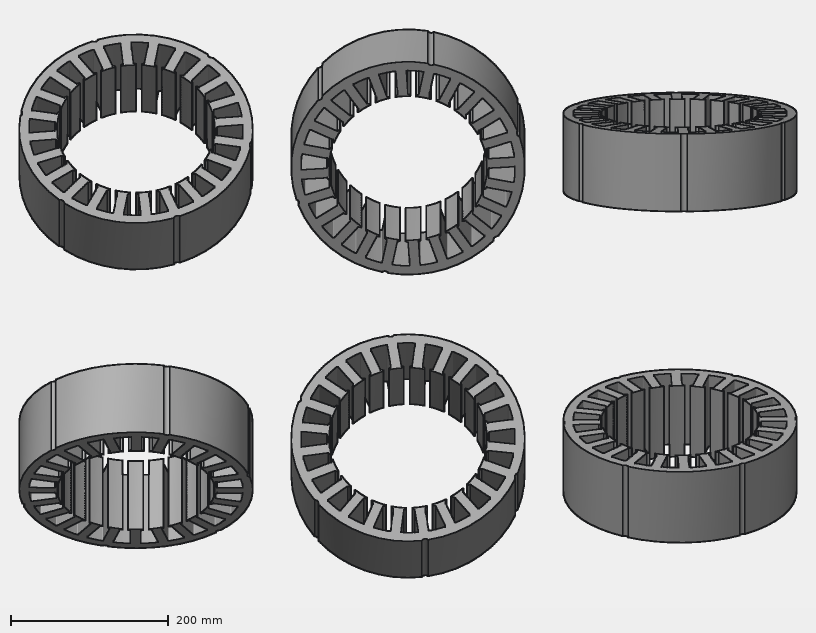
import cadquery as cq
import math

outer_diameter = 296.0
bore_diameter = 200.0
height = 100.0

tooth_count = 24
tooth_width = 13.2
slot_floor_radius = 135.5
slot_corner_radius = 1.0
slot_opening = 7.0
lip_radius = 101.5
tooth_root_radius = 103.2

groove_count = 6
groove_radius = 5.0
groove_depth = 2.0

tooth_pitch = 360.0 / tooth_count
first_groove_angle = 90.0
outer_radius = outer_diameter / 2
bore_radius = bore_diameter / 2
bore_overlap = 5.0


def ring_blank():
    return cq.Workplane("XY").circle(outer_radius).circle(bore_radius).extrude(height)


def flank_point(radius):
    """Point at the given radius on the tooth flank above a slot centred on +X."""
    half_pitch = math.radians(tooth_pitch / 2)
    angle = half_pitch - math.asin(tooth_width / 2 / radius)
    return radius * math.cos(angle), radius * math.sin(angle)


def mirrored(point):
    return point[0], -point[1]


def slot_cutter():
    """Full-height slot centred on +X: narrow opening, flare, straight flanks, round floor."""
    half_opening = slot_opening / 2
    mouth = (bore_radius - bore_overlap, half_opening)
    lip = (math.sqrt(lip_radius**2 - half_opening**2), half_opening)
    root = flank_point(tooth_root_radius)
    floor_corner = flank_point(slot_floor_radius)
    cutter = (
        cq.Workplane("XY")
        .moveTo(*mouth)
        .lineTo(*lip)
        .lineTo(*root)
        .lineTo(*floor_corner)
        .threePointArc((slot_floor_radius, 0), mirrored(floor_corner))
        .lineTo(*mirrored(root))
        .lineTo(*mirrored(lip))
        .lineTo(*mirrored(mouth))
        .close()
        .extrude(height)
    )
    return cutter.edges("|Z").edges(">X").fillet(slot_corner_radius)


def groove_cutter():
    """Round bar centred beyond the rim on +X, leaving a groove of the given radius and depth."""
    centre = outer_radius - groove_depth + groove_radius
    return cq.Workplane("XY").center(centre, 0).circle(groove_radius).extrude(height)


def cut_around(body, cutter, count, first_angle):
    """Cut evenly spaced copies of the cutter around the Z axis."""
    pitch = 360.0 / count
    for index in range(count):
        angle = first_angle + index * pitch
        body = body.cut(cutter.rotate((0, 0, 0), (0, 0, 1), angle))
    return body


stator = cut_around(ring_blank(), slot_cutter(), tooth_count, tooth_pitch / 2)
result = cut_around(stator, groove_cutter(), groove_count, first_groove_angle)